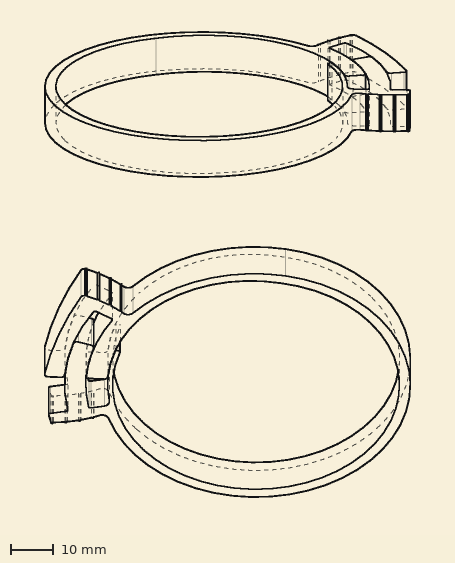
import cadquery as cq
import math

BAND_HEIGHT = 9.1
OUTER_RADIUS = 35.9
BAND_THICKNESS = 2.55
INNER_RADIUS = OUTER_RADIUS - BAND_THICKNESS
RING_CENTRE = (0.0, 0.0)

SHOULDER_RADIUS = 37.9
SHOULDER_CENTRE = (SHOULDER_RADIUS - OUTER_RADIUS, 0.0)

LATCH_CENTRE = (0.0, 1.3)
SLIDING_GAP = 0.1
JAW_PITCH = 5.0
LOWER_JAW_BOTTOM = INNER_RADIUS
STRAP_TOP = LOWER_JAW_BOTTOM - SLIDING_GAP
MIDDLE_JAW_BOTTOM = LOWER_JAW_BOTTOM + JAW_PITCH
LOWER_JAW_TOP = MIDDLE_JAW_BOTTOM - SLIDING_GAP
UPPER_JAW_BOTTOM = MIDDLE_JAW_BOTTOM + JAW_PITCH
MIDDLE_JAW_TOP = UPPER_JAW_BOTTOM - SLIDING_GAP

CROWN_RADIUS = 87.8
CROWN_TOP_X = 4.7
CROWN_TOP_Y = 49.0
CROWN_CENTRE = (CROWN_TOP_X, CROWN_TOP_Y - CROWN_RADIUS)

JAW_END_ANGLE = 7.7
STRAP_END_ANGLE = 8.2
POST_ANGLE = 21.6

POST_FACE_RADIUS = 29.2
RIGHT_FACE_CENTRE = (-7.9, 50.1)
LEFT_FACE_CENTRE = (-RIGHT_FACE_CENTRE[0], RIGHT_FACE_CENTRE[1])
TANG_TIP_RADIUS = 49.15

RIDGE_BASE = 0.6
RIDGE_HEIGHT = 0.3
RIDGE_COUNT = 4
RIDGE_PITCH = 6.3
TOP_RIDGE_ANGLE = 101.4

POST_FOOT_FILLET = 1.5
JAW_FILLET = 0.85
SMALL_FILLET = 0.4
WINDOW_FLOOR_FILLET = 1.5


def polar(centre, radius, angle):
    """Point on a circle at an angle in degrees from +Y toward +X."""
    a = math.radians(angle)
    return (centre[0] + radius * math.sin(a), centre[1] + radius * math.cos(a))


def on_ray(centre, radius, angle):
    """Point where a ray from the ring centre leaves a circle."""
    a = math.radians(angle)
    along = centre[0] * math.sin(a) + centre[1] * math.cos(a)
    across = centre[0] * math.cos(a) - centre[1] * math.sin(a)
    return polar(RING_CENTRE, along + math.sqrt(radius ** 2 - across ** 2), angle)


def crossings(centre_a, radius_a, centre_b, radius_b):
    """The two points where two circles cross, ordered left to right."""
    dx = centre_b[0] - centre_a[0]
    dy = centre_b[1] - centre_a[1]
    distance = math.hypot(dx, dy)
    along = (distance ** 2 + radius_a ** 2 - radius_b ** 2) / (2 * distance)
    across = math.sqrt(radius_a ** 2 - along ** 2)
    ux = dx / distance
    uy = dy / distance
    foot = (centre_a[0] + along * ux, centre_a[1] + along * uy)
    offset = (-across * uy, across * ux)
    return sorted([
        (foot[0] + offset[0], foot[1] + offset[1]),
        (foot[0] - offset[0], foot[1] - offset[1]),
    ])


def arc_to(path, centre, end):
    """Continue the path along the shorter arc about a centre."""
    start = path.val().endPoint()
    radius = math.dist(centre, end)
    mx = start.x + end[0] - 2 * centre[0]
    my = start.y + end[1] - 2 * centre[1]
    scale = radius / math.hypot(mx, my)
    return path.threePointArc((centre[0] + mx * scale, centre[1] + my * scale), end)


strap_end_inner = polar(RING_CENTRE, INNER_RADIUS, -STRAP_END_ANGLE)
strap_end_outer = on_ray(LATCH_CENTRE, STRAP_TOP, -STRAP_END_ANGLE)

lower_jaw_end_bottom = on_ray(LATCH_CENTRE, LOWER_JAW_BOTTOM, JAW_END_ANGLE)
lower_jaw_end_top = on_ray(LATCH_CENTRE, LOWER_JAW_TOP, JAW_END_ANGLE)
left_window_bottom = on_ray(LATCH_CENTRE, LOWER_JAW_TOP, -POST_ANGLE)
left_window_top = on_ray(LATCH_CENTRE, UPPER_JAW_BOTTOM, -POST_ANGLE)
upper_jaw_end_bottom = on_ray(LATCH_CENTRE, UPPER_JAW_BOTTOM, JAW_END_ANGLE)
upper_jaw_end_top = on_ray(CROWN_CENTRE, CROWN_RADIUS, JAW_END_ANGLE)

left_post_top = crossings(CROWN_CENTRE, CROWN_RADIUS, LEFT_FACE_CENTRE, POST_FACE_RADIUS)[0]
left_post_foot = crossings(SHOULDER_CENTRE, SHOULDER_RADIUS, LEFT_FACE_CENTRE, POST_FACE_RADIUS)[0]
right_post_foot = crossings(RING_CENTRE, OUTER_RADIUS, RIGHT_FACE_CENTRE, POST_FACE_RADIUS)[1]
tang_tip_outer = crossings(RING_CENTRE, TANG_TIP_RADIUS, RIGHT_FACE_CENTRE, POST_FACE_RADIUS)[1]
tang_tip_inner = polar(RING_CENTRE, TANG_TIP_RADIUS, POST_ANGLE)
tang_root = on_ray(LATCH_CENTRE, MIDDLE_JAW_TOP, POST_ANGLE)

middle_jaw_end_top = on_ray(LATCH_CENTRE, MIDDLE_JAW_TOP, -JAW_END_ANGLE)
middle_jaw_end_bottom = on_ray(LATCH_CENTRE, MIDDLE_JAW_BOTTOM, -JAW_END_ANGLE)
right_window_top = on_ray(LATCH_CENTRE, MIDDLE_JAW_BOTTOM, POST_ANGLE)
right_window_bottom = on_ray(LATCH_CENTRE, STRAP_TOP, POST_ANGLE)

inner_join = crossings(RING_CENTRE, INNER_RADIUS, LATCH_CENTRE, LOWER_JAW_BOTTOM)[0]
ring_left = (-OUTER_RADIUS, 0.0)
ring_bottom_inner = (0.0, -INNER_RADIUS)
ring_bottom_outer = (0.0, -OUTER_RADIUS)


def band_outline():
    """Closed outline of the whole band: once round the inside, the latch and the outside."""
    path = cq.Workplane("XY").moveTo(*strap_end_inner)
    path = path.threePointArc(ring_bottom_inner, inner_join)
    path = arc_to(path, LATCH_CENTRE, lower_jaw_end_bottom)
    path = path.lineTo(*lower_jaw_end_top)
    path = arc_to(path, LATCH_CENTRE, left_window_bottom)
    path = path.lineTo(*left_window_top)
    path = arc_to(path, LATCH_CENTRE, upper_jaw_end_bottom)
    path = path.lineTo(*upper_jaw_end_top)
    path = arc_to(path, CROWN_CENTRE, left_post_top)
    path = arc_to(path, LEFT_FACE_CENTRE, left_post_foot)
    path = arc_to(path, SHOULDER_CENTRE, ring_left)
    path = path.threePointArc(ring_bottom_outer, right_post_foot)
    path = arc_to(path, RIGHT_FACE_CENTRE, tang_tip_outer)
    path = arc_to(path, RING_CENTRE, tang_tip_inner)
    path = path.lineTo(*tang_root)
    path = arc_to(path, LATCH_CENTRE, middle_jaw_end_top)
    path = path.lineTo(*middle_jaw_end_bottom)
    path = arc_to(path, LATCH_CENTRE, right_window_top)
    path = path.lineTo(*right_window_bottom)
    path = arc_to(path, LATCH_CENTRE, strap_end_outer)
    return path.close()


def round_corners(body, radius, corners):
    """Fillet the upright edges that stand on the given corners."""
    for x, y in corners:
        edge = cq.selectors.NearestToPointSelector((x, y, BAND_HEIGHT / 2))
        body = body.edges("|Z").edges(edge).fillet(radius)
    return body


def grip_ridges():
    """Pointed ridges standing on the outer faces of both posts."""
    half_base = math.degrees(RIDGE_BASE / 2 / POST_FACE_RADIUS)
    ridges = cq.Workplane("XY")
    for i in range(RIDGE_COUNT):
        angle = TOP_RIDGE_ANGLE + i * RIDGE_PITCH
        for centre, side in [(LEFT_FACE_CENTRE, -1), (RIGHT_FACE_CENTRE, 1)]:
            ridges = ridges.polyline([
                polar(centre, POST_FACE_RADIUS, side * (angle - half_base)),
                polar(centre, POST_FACE_RADIUS + RIDGE_HEIGHT, side * angle),
                polar(centre, POST_FACE_RADIUS, side * (angle + half_base)),
            ]).close()
    return ridges.extrude(BAND_HEIGHT)


band = band_outline().extrude(BAND_HEIGHT)
band = round_corners(band, POST_FOOT_FILLET, [left_post_foot, right_post_foot])
band = round_corners(band, WINDOW_FLOOR_FILLET, [right_window_bottom])
band = round_corners(band, JAW_FILLET, [
    lower_jaw_end_bottom,
    middle_jaw_end_top,
    middle_jaw_end_bottom,
    upper_jaw_end_bottom,
    upper_jaw_end_top,
    left_post_top,
])
band = round_corners(band, SMALL_FILLET, [
    lower_jaw_end_top,
    left_window_bottom,
    left_window_top,
    right_window_top,
    strap_end_inner,
    tang_root,
    tang_tip_inner,
    tang_tip_outer,
])
result = band.union(grip_ridges())